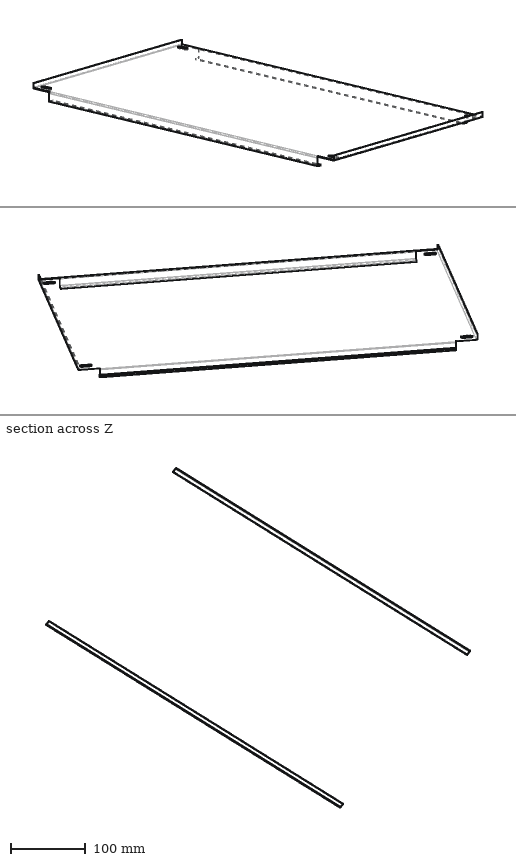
import cadquery as cq

LENGTH = 545.0
WIDTH = 300.0
HEIGHT = 20.5

SHEET = 1.5
INNER_RADIUS = 0.75
OUTER_RADIUS = INNER_RADIUS + SHEET

PANEL_WIDTH = 296.0
END_FLANGE_HEIGHT = 7.5
SIDE_FLANGE_LENGTH = 485.0
LIP_WIDTH = 7.5

SLOT_LENGTH = 16.0
SLOT_WIDTH = 6.0
SLOT_END_OFFSET = 13.0
SLOT_SIDE_OFFSET = 12.0

SIDE_DEPTH = HEIGHT - END_FLANGE_HEIGHT


def make_tray():
    """Panel with an upturned flange at each X end."""
    tray = cq.Workplane("XY").box(LENGTH, PANEL_WIDTH, END_FLANGE_HEIGHT, centered=(True, True, False))
    tray = tray.edges("|Y and <Z").fillet(OUTER_RADIUS)
    cavity = (
        cq.Workplane("XY")
        .workplane(offset=SHEET)
        .box(LENGTH - 2 * SHEET, PANEL_WIDTH, END_FLANGE_HEIGHT, centered=(True, True, False))
        .edges("|Y and <Z")
        .fillet(INNER_RADIUS)
    )
    return tray.cut(cavity)


def make_side_channel():
    """Channel running along X: top sheet, two side flanges and inward lips."""
    depth = SIDE_DEPTH + SHEET
    channel = (
        cq.Workplane("XY")
        .workplane(offset=-SIDE_DEPTH)
        .box(SIDE_FLANGE_LENGTH, WIDTH, depth, centered=(True, True, False))
        .edges("|X")
        .fillet(OUTER_RADIUS)
    )
    cavity = (
        cq.Workplane("XY")
        .workplane(offset=-SIDE_DEPTH + SHEET)
        .box(SIDE_FLANGE_LENGTH, WIDTH - 2 * SHEET, depth - 2 * SHEET, centered=(True, True, False))
        .edges("|X")
        .fillet(INNER_RADIUS)
    )
    lip_gap = (
        cq.Workplane("XY")
        .workplane(offset=-SIDE_DEPTH)
        .box(SIDE_FLANGE_LENGTH, WIDTH - 2 * LIP_WIDTH, SHEET, centered=(True, True, False))
    )
    return channel.cut(cavity).cut(lip_gap)


def make_panel_trim():
    """Corner material of the panel where the rounded side bends take over."""
    trim = cq.Workplane("XY").box(SIDE_FLANGE_LENGTH, PANEL_WIDTH, SHEET, centered=(True, True, False))
    flat = cq.Workplane("XY").box(
        SIDE_FLANGE_LENGTH, WIDTH - 2 * OUTER_RADIUS, SHEET, centered=(True, True, False)
    )
    return trim.cut(flat)


def make_slots():
    """Four mounting slots, one near each panel corner."""
    return (
        cq.Workplane("XY")
        .rect(LENGTH - 2 * SLOT_END_OFFSET, PANEL_WIDTH - 2 * SLOT_SIDE_OFFSET, forConstruction=True)
        .vertices()
        .slot2D(SLOT_LENGTH, SLOT_WIDTH)
        .extrude(SHEET)
    )


result = make_tray().cut(make_panel_trim()).union(make_side_channel()).cut(make_slots())